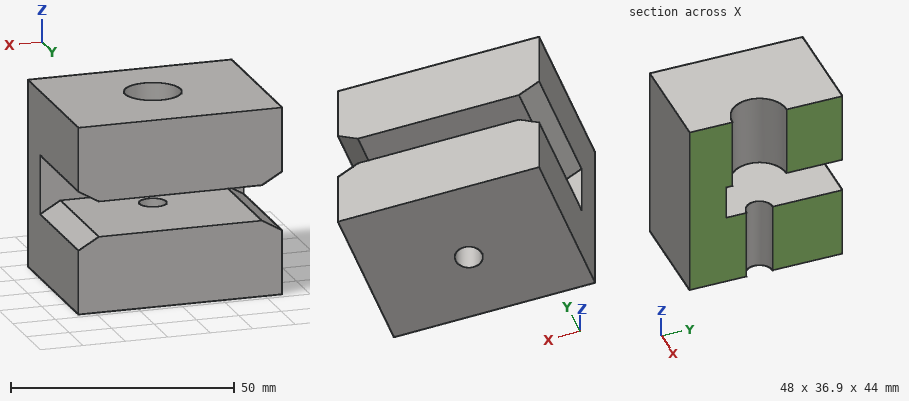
import cadquery as cq

length = 48.0
width = 36.9
height = 44.0

back_wall = 9.0
slot_height = 8.3
slot_mid_z = height / 2
chamfer_rise = 2.8
chamfer_run = 4.8

hole_y = 16.9
wide_diameter = 13.0
narrow_diameter = 6.3


def make_block():
    return cq.Workplane("XY").box(length, width, height, centered=(True, False, False))


def make_slot():
    """Slot with its mouths flared at both ends of the block."""
    half_length = length / 2
    inner_x = half_length - chamfer_run
    inner_z = slot_height / 2
    outer_z = inner_z + chamfer_rise
    profile = [
        (-half_length, -outer_z),
        (-inner_x, -inner_z),
        (inner_x, -inner_z),
        (half_length, -outer_z),
        (half_length, outer_z),
        (inner_x, inner_z),
        (-inner_x, inner_z),
        (-half_length, outer_z),
    ]
    slot = cq.Workplane("XZ").polyline(profile).close().extrude(-(width - back_wall))
    return slot.translate((0, back_wall, slot_mid_z))


def make_bore(diameter, bottom_z):
    """Vertical cylinder from bottom_z up to the top face."""
    bore = cq.Workplane("XY").circle(diameter / 2).extrude(height - bottom_z)
    return bore.translate((0, hole_y, bottom_z))


result = (
    make_block()
    .cut(make_slot())
    .cut(make_bore(wide_diameter, slot_mid_z))
    .cut(make_bore(narrow_diameter, 0))
)